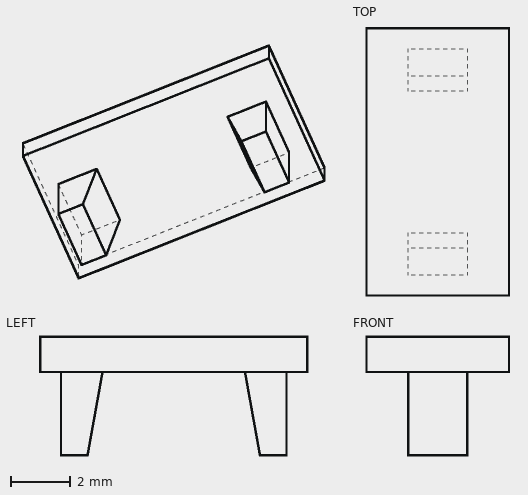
import cadquery as cq

plate_width = 4.8
plate_length = 9.0
total_height = 4.0
plate_thickness = 1.2

leg_width = 2.0
leg_inset = 0.7
leg_root_depth = 1.4
leg_tip_depth = 0.9

leg_height = total_height - plate_thickness
leg_outer_y = plate_length / 2 - leg_inset


def make_leg(side):
    """Build the tapered leg at the +Y (side = 1) or -Y (side = -1) end."""
    outer_y = side * leg_outer_y
    root_y = side * (leg_outer_y - leg_root_depth)
    tip_y = side * (leg_outer_y - leg_tip_depth)
    return (
        cq.Workplane("YZ")
        .moveTo(outer_y, 0)
        .lineTo(outer_y, leg_height)
        .lineTo(root_y, leg_height)
        .lineTo(tip_y, 0)
        .close()
        .extrude(leg_width / 2, both=True)
    )


result = (
    cq.Workplane("XY")
    .workplane(offset=leg_height)
    .rect(plate_width, plate_length)
    .extrude(plate_thickness)
)
for side in (-1, 1):
    result = result.union(make_leg(side))